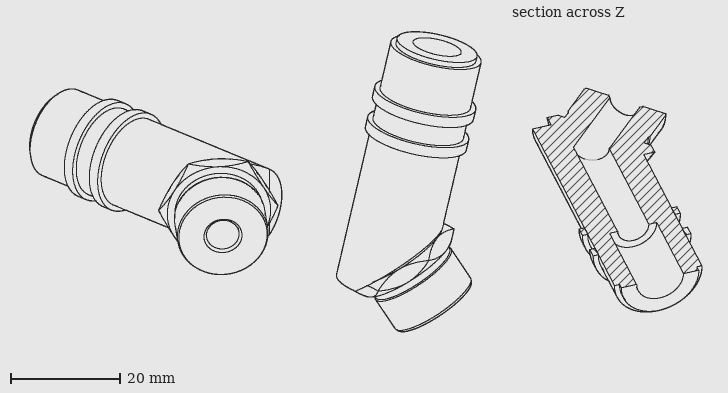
import cadquery as cq
import math

overall_length = 54.5
bend_angle = 45.0

tube_radius = 8.5
tip_radius = 7.5
tip_length = 1.0
socket_radius = 4.5
socket_depth = 15.0
bore_radius = 3.0

ring_diameter = 19.0
ring_radius = ring_diameter / 2
ring_width = 2.0
first_ring_x = 10.0
ring_pitch = 6.0
ring_count = 2

hex_offset = 2.5
hex_across_flats = ring_diameter
hex_sides = 6
hex_thickness = 3.0
neck_radius = 8.1
neck_length = 1.65
spigot_radius = 8.35
spigot_length = 7.35
spigot_chamfer_length = 0.5
spigot_chamfer_depth = 0.2
countersink = 0.5
countersink_taper = 45.0

hex_front = hex_offset + hex_thickness
spigot_start = hex_front + neck_length
fitting_reach = spigot_start + spigot_length
spigot_end_radius = spigot_radius - spigot_chamfer_depth

bend_cos = math.cos(math.radians(bend_angle))
bend_sin = math.sin(math.radians(bend_angle))
bend_x = overall_length - fitting_reach * bend_cos - spigot_end_radius * bend_sin
tube_length = bend_x + tube_radius

fitting_direction = cq.Vector(bend_cos, -bend_sin, 0)
bend_point = cq.Vector(bend_x, 0, 0)


def tube_section(x_start, length, radius):
    """Solid cylinder along the tube axis."""
    return cq.Workplane("YZ", origin=(x_start, 0, 0)).circle(radius).extrude(length)


def fitting_plane(distance):
    """Plane square to the fitting axis, with local x along global Z."""
    origin = bend_point + fitting_direction * distance
    return cq.Workplane(cq.Plane(origin=origin, xDir=(0, 0, 1), normal=fitting_direction))


def make_tube():
    """Stepped tube, cut off along the back plane of the hexagon."""
    tube = tube_section(0, tip_length, tip_radius)
    tube = tube.union(tube_section(tip_length, tube_length - tip_length, tube_radius))
    beyond_hex_back = fitting_plane(hex_offset).circle(overall_length).extrude(overall_length)
    return tube.cut(beyond_hex_back)


def make_hexagon():
    """Hexagon with two flats facing +Z and -Z, its corners bevelled at 45 degrees on both faces."""
    flat_radius = hex_across_flats / 2
    half_side_angle = 180 / hex_sides
    corner_radius = flat_radius / math.cos(math.radians(half_side_angle))
    hexagon = (
        fitting_plane(hex_offset)
        .transformed(rotate=(0, 0, half_side_angle))
        .polygon(hex_sides, 2 * corner_radius)
        .extrude(hex_thickness)
    )
    bevelled_disc = (
        fitting_plane(hex_offset)
        .circle(corner_radius)
        .extrude(hex_thickness)
        .edges("%CIRCLE")
        .chamfer(corner_radius - flat_radius)
    )
    return hexagon.intersect(bevelled_disc)


def make_spigot():
    """Neck and spigot, with a 45 degree shoulder between them and a shallow chamfer on the outer end."""
    shoulder = spigot_radius - neck_radius
    profile = [
        (0, hex_front),
        (neck_radius, hex_front),
        (neck_radius, spigot_start),
        (spigot_radius, spigot_start + shoulder),
        (spigot_radius, fitting_reach - spigot_chamfer_length),
        (spigot_end_radius, fitting_reach),
        (0, fitting_reach),
    ]
    profile_plane = cq.Plane(
        origin=bend_point,
        xDir=(0, 0, 1),
        normal=cq.Vector(0, 0, 1).cross(fitting_direction),
    )
    return cq.Workplane(profile_plane).polyline(profile).close().revolve(360, (0, 0), (0, 1))


def make_passage():
    """Socket, mitred bore through the bend, and countersink at the spigot end."""
    end = bend_point + fitting_direction * fitting_reach
    path = cq.Workplane("XY").polyline([(0, 0), (bend_x, 0), (end.x, end.y)])
    bore = cq.Workplane("YZ").circle(bore_radius).sweep(path, transition="right")
    socket = tube_section(0, socket_depth, socket_radius)
    funnel = (
        fitting_plane(fitting_reach - countersink)
        .circle(bore_radius)
        .extrude(countersink, taper=-countersink_taper)
    )
    return bore.union(socket).union(funnel)


def make_housing():
    """Tube, hexagon and spigot in one piece, with the passage through it."""
    outside = make_tube().union(make_hexagon()).union(make_spigot())
    return outside.cut(make_passage())


def make_ring(x_start):
    """Flat ring fitted around the tube."""
    return (
        cq.Workplane("YZ", origin=(x_start, 0, 0))
        .circle(ring_radius)
        .circle(tube_radius)
        .extrude(ring_width)
    )


housing = make_housing()
rings = [make_ring(first_ring_x + i * ring_pitch) for i in range(ring_count)]

result = cq.Compound.makeCompound([housing.solids().val(), *[ring.val() for ring in rings]])